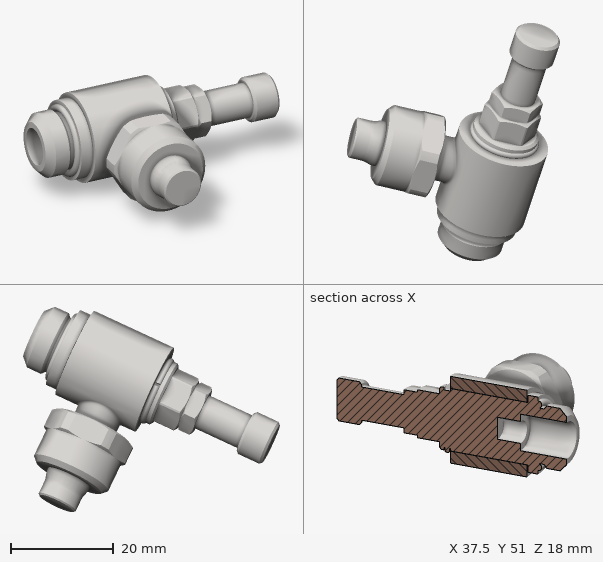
import cadquery as cq
import math


thread_end_y = -18.3
thread_tip_chamfer = 1.55
thread_length = 4.5
shoulder_chamfer = 0.6
neck_length = 1.2
collar_length = 2.35
seat_gap = 0.15
housing_length = 17.1
groove_width = 1.2
flange_length = 1.15
hex_length = 4.85
locknut_length = 3.0
stem_length = 9.35
knob_length = 5.5

shoulder_y = thread_end_y + thread_length
neck_y = shoulder_y + shoulder_chamfer
collar_y = neck_y + neck_length
collar_top_y = collar_y + collar_length
housing_y = collar_top_y + seat_gap
housing_top_y = housing_y + housing_length
flange_y = housing_top_y + groove_width
hex_y = flange_y + flange_length
locknut_y = hex_y + hex_length
stem_y = locknut_y + locknut_length
knob_y = stem_y + stem_length
knob_top_y = knob_y + knob_length

thread_dia = 13.0
thread_tip_dia = 9.9
neck_dia = 11.6
collar_dia = 16.0
shank_dia = 13.05
flange_top_dia = 11.95
groove_dia = flange_top_dia
stem_dia = 7.0
knob_dia = 9.0
knob_face_dia = 8.0
flange_chamfer = 0.4
knob_chamfer = (knob_dia - knob_face_dia) / 2

hex_flats = 10.0
hex_corner_dia = 11.3
hex_face_dia = 9.8
locknut_flats = 9.0
locknut_corner_dia = locknut_flats / math.cos(math.radians(30))
chamfer_slope = math.tan(math.radians(30))

port_dia = 7.5
port_depth = 10.2
passage_dia = 4.5
passage_depth = 15.3
seal_radius = 0.75
seal_center_radius = 6.5
snap_radius = groove_width / 2
snap_center_radius = 6.3
snap_split_width = 0.6

housing_dia = 18.0
branch_dia = 9.0
branch_fillet = 0.4

union_x = 11.7
union_hex_length = 4.5
union_length = 11.15
union_dia = 16.0
union_flats = union_dia
union_corner_dia = 17.5
union_back_face_dia = 15.5
union_end_chamfer = 1.0
tube_collar_length = 0.35
tube_flare_length = 2.4
tube_dia = 8.0
tube_end_chamfer = 0.3
overall_x = 37.5
tube_end_x = overall_x - housing_dia / 2


def turned_about_y(points):
    """Solid of revolution about Y from (radius, y) points that end on the axis."""
    return cq.Workplane("XY").polyline(points).close().revolve(360, (0, 0), (0, 1))


def turned_about_x(points):
    """Solid of revolution about X from (x, radius) points that end on the axis."""
    return cq.Workplane("XY").polyline(points).close().revolve(360, (0, 0), (1, 0))


def ring_about_y(center_radius, wire_radius, y):
    """Round-section ring about the bolt axis."""
    return cq.Workplane("XY").center(center_radius, y).circle(wire_radius).revolve(
        360, (-center_radius, 0), (-center_radius, 1)
    )


def hexagon(plane, flats, length):
    """Hexagonal bar with two corners on the plane's local Y direction."""
    return cq.Workplane(plane).polygon(6, flats, circumscribed=True).extrude(length)


def bolt_hexagon(flats, start_y, points):
    """Hexagonal bar along +Y, its corners trimmed to a turned outline."""
    length = points[-1][1] - start_y
    bar = hexagon(cq.Plane((0, start_y, 0), (0, 0, 1), (0, 1, 0)), flats, length)
    return bar.intersect(turned_about_y(points))


def make_bolt_body():
    """Turned threaded end, neck, collar, shank, snap ring groove and flange."""
    thread_r = thread_dia / 2
    return turned_about_y([
        (0, thread_end_y),
        (thread_tip_dia / 2, thread_end_y),
        (thread_r, thread_end_y + thread_tip_chamfer),
        (thread_r, shoulder_y),
        (neck_dia / 2, neck_y),
        (neck_dia / 2, collar_y),
        (collar_dia / 2, collar_y),
        (collar_dia / 2, collar_top_y),
        (shank_dia / 2, collar_top_y),
        (shank_dia / 2, housing_top_y),
        (groove_dia / 2, housing_top_y),
        (groove_dia / 2, flange_y),
        (shank_dia / 2, flange_y),
        (shank_dia / 2, hex_y - flange_chamfer),
        (flange_top_dia / 2, hex_y),
        (0, hex_y),
    ])


def make_drive_hexagon():
    """Wrench hexagon with trimmed corners and a chamfered top."""
    corner_r = hex_corner_dia / 2
    face_r = hex_face_dia / 2
    chamfer = (corner_r - face_r) * chamfer_slope
    return bolt_hexagon(hex_flats, hex_y, [
        (0, hex_y),
        (corner_r, hex_y),
        (corner_r, locknut_y - chamfer),
        (face_r, locknut_y),
        (0, locknut_y),
    ])


def make_locknut():
    """Lock nut hexagon, chamfered at both ends."""
    corner_r = locknut_corner_dia / 2
    face_r = locknut_flats / 2
    chamfer = (corner_r - face_r) * chamfer_slope
    return bolt_hexagon(locknut_flats, locknut_y, [
        (0, locknut_y),
        (face_r, locknut_y),
        (corner_r, locknut_y + chamfer),
        (corner_r, stem_y - chamfer),
        (face_r, stem_y),
        (0, stem_y),
    ])


def make_stem_and_knob():
    """Adjusting stem with a chamfered knob."""
    return turned_about_y([
        (0, stem_y),
        (stem_dia / 2, stem_y),
        (stem_dia / 2, knob_y),
        (knob_face_dia / 2, knob_y),
        (knob_dia / 2, knob_y + knob_chamfer),
        (knob_dia / 2, knob_top_y - knob_chamfer),
        (knob_face_dia / 2, knob_top_y),
        (0, knob_top_y),
    ])


def make_snap_ring():
    """Ring in the groove above the housing, split on the +Z side."""
    ring = ring_about_y(snap_center_radius, snap_radius, housing_top_y + snap_radius)
    split = cq.Workplane("XY").center(0, housing_top_y).box(
        snap_split_width, groove_width, housing_dia / 2, centered=(True, False, False)
    )
    return ring.cut(split)


def make_stepped_bore():
    """Port and narrower passage, open at the threaded end."""
    port_top_y = thread_end_y + port_depth
    passage_top_y = thread_end_y + passage_depth
    return turned_about_y([
        (0, thread_end_y),
        (port_dia / 2, thread_end_y),
        (port_dia / 2, port_top_y),
        (passage_dia / 2, port_top_y),
        (passage_dia / 2, passage_top_y),
        (0, passage_top_y),
    ])


def make_bolt():
    bolt = make_bolt_body().union(make_drive_hexagon()).union(make_locknut()).union(make_stem_and_knob())
    bolt = bolt.union(ring_about_y(seal_center_radius, seal_radius, collar_y)).union(make_snap_ring())
    return bolt.cut(make_stepped_bore())


def make_union_nut():
    """Union nut: hexagon with chamfered corners, then a round sleeve."""
    hex_end_x = union_x + union_hex_length
    end_x = union_x + union_length
    corner_r = union_corner_dia / 2
    back_face_r = union_back_face_dia / 2
    sleeve_r = union_dia / 2
    back_chamfer = (corner_r - back_face_r) * chamfer_slope
    front_chamfer = (corner_r - sleeve_r) * chamfer_slope
    outline = turned_about_x([
        (union_x, 0),
        (union_x, back_face_r),
        (union_x + back_chamfer, corner_r),
        (hex_end_x - front_chamfer, corner_r),
        (hex_end_x, sleeve_r),
        (hex_end_x, 0),
    ])
    bar = hexagon(cq.Plane((union_x, 0, 0), (0, 0, 1), (1, 0, 0)), union_flats, union_hex_length)
    sleeve = turned_about_x([
        (hex_end_x, 0),
        (hex_end_x, sleeve_r),
        (end_x - union_end_chamfer, sleeve_r),
        (end_x, sleeve_r - union_end_chamfer),
        (end_x, 0),
    ])
    return bar.intersect(outline).union(sleeve)


def make_tube_end():
    """Tube end that narrows in a smooth S-curve from the branch size to the tube size."""
    start_x = union_x + union_length
    flare_x = start_x + tube_collar_length
    tube_x = flare_x + tube_flare_length
    tube_r = tube_dia / 2
    return (
        cq.Workplane("XY")
        .moveTo(start_x, 0)
        .lineTo(start_x, branch_dia / 2)
        .lineTo(flare_x, branch_dia / 2)
        .spline([(tube_x, tube_r)], tangents=[(1, 0), (1, 0)], includeCurrent=True)
        .lineTo(tube_end_x - tube_end_chamfer, tube_r)
        .lineTo(tube_end_x, tube_r - tube_end_chamfer)
        .lineTo(tube_end_x, 0)
        .close()
        .revolve(360, (0, 0), (1, 0))
    )


def housing_cylinder(diameter):
    """Cylinder on the bolt axis, as long as the housing."""
    return turned_about_y([
        (0, housing_y),
        (diameter / 2, housing_y),
        (diameter / 2, housing_top_y),
        (0, housing_top_y),
    ])


def branch_root_box():
    """Selects the edge where the branch meets the barrel, short of the branch's flat end."""
    root_end_x = (housing_dia / 2 + union_x) / 2
    return cq.selectors.BoxSelector(
        (branch_fillet, -branch_dia, -branch_dia), (root_end_x, branch_dia, branch_dia)
    )


def make_housing():
    """Banjo housing with its branch, union nut and tube end, bored for the bolt shank."""
    barrel = housing_cylinder(housing_dia)
    branch = cq.Workplane("YZ").circle(branch_dia / 2).extrude(union_x)
    housing = barrel.union(branch)
    housing = housing.edges(branch_root_box()).edges("not %LINE").fillet(branch_fillet)
    housing = housing.union(make_union_nut()).union(make_tube_end())
    return housing.cut(housing_cylinder(shank_dia))


bolt = make_bolt()
housing = make_housing()

result = cq.Compound.makeCompound([*bolt.solids().vals(), *housing.solids().vals()])